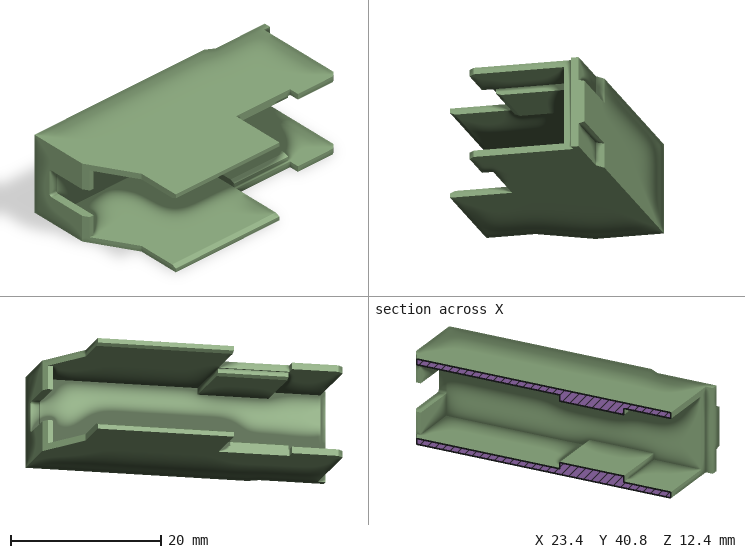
import cadquery as cq

width, length, height = 23.38, 40.8, 12.45
half_height = height / 2

tab_width = 1.85
rear_y = 39.75
hook_x = 16.35
hook_front_y = 32.6
hook_chamfer = 0.78
neck_x = 14.8
shoulder_y = 22.9
nose_x = 9.45
slant_end_x = 16.6
slant_end_y = 4.2

plate_thickness = 0.9
side_wall = 3.15
front_wall = 1.22
front_wall_end_x = 10.35
slot_height = 4.25
slot_start_x = 2.98
slot_corner_radius = 0.35

bevel_length = 0.75
bevel_depth = 0.3

pad_end_x = 14.45
pad_thickness = 0.9

recess_depth = 0.8
recess_length = 10.3
recess_floor_length = 8.9
recess_floor_height = 3.2
recess_mouth_height = 3.4


def both_halves(upper):
    """Join an upper feature with its mirror image below mid-height."""
    return upper.union(upper.mirror("XY"))


def outline_body():
    """Full-height block with the stepped plan outline."""
    return (
        cq.Workplane("XY")
        .workplane(offset=-half_height)
        .moveTo(0, 0)
        .lineTo(nose_x, 0)
        .lineTo(slant_end_x, slant_end_y)
        .lineTo(width, slant_end_y)
        .lineTo(width, shoulder_y)
        .lineTo(neck_x, shoulder_y)
        .lineTo(neck_x, hook_front_y)
        .lineTo(hook_x, hook_front_y)
        .lineTo(hook_x, rear_y - hook_chamfer)
        .lineTo(hook_x - hook_chamfer, rear_y)
        .lineTo(tab_width, rear_y)
        .lineTo(tab_width, length)
        .lineTo(0, length)
        .close()
        .extrude(height)
    )


def box_between(x_start, x_end, y_start, y_end, box_height):
    """Box centred on mid-height."""
    return (
        cq.Workplane("XY")
        .box(x_end - x_start, y_end - y_start, box_height, centered=(False, False, True))
        .translate((x_start, y_start, 0))
    )


def cavity():
    """Space between the plates, open at the rear and along the +X side."""
    inner_height = height - 2 * plate_thickness
    behind_wall = box_between(side_wall, width, front_wall, length, inner_height)
    beside_wall = box_between(front_wall_end_x, width, 0, front_wall, inner_height)
    return behind_wall.union(beside_wall)


def front_slot():
    """Slot through the front wall, rounded at its closed end."""
    slot = box_between(slot_start_x, width, 0, front_wall, slot_height)
    return slot.edges("|Y and <X").fillet(slot_corner_radius)


def plate_bevels():
    """Bevels on the inner +X edges of both plates."""
    inner_z = half_height - plate_thickness
    upper = (
        cq.Workplane("XZ")
        .polyline([(width - bevel_length, inner_z), (width, inner_z), (width, inner_z + bevel_depth)])
        .close()
        .extrude(-length)
    )
    return both_halves(upper)


def pads():
    """Bevelled pads on the inner faces of both plates."""
    outer_z = half_height - plate_thickness
    inner_z = outer_z - pad_thickness
    upper = (
        cq.Workplane("XZ", origin=(0, shoulder_y, 0))
        .moveTo(side_wall, outer_z)
        .lineTo(pad_end_x, outer_z)
        .lineTo(pad_end_x, inner_z + bevel_depth)
        .lineTo(pad_end_x - bevel_length, inner_z)
        .lineTo(side_wall, inner_z)
        .close()
        .extrude(-(hook_front_y - shoulder_y))
    )
    return both_halves(upper)


def side_recesses():
    """Recesses with a ramped front end and a slightly sloped ledge."""
    plan = (
        cq.Workplane("XY")
        .moveTo(0, length)
        .lineTo(recess_depth, length)
        .lineTo(recess_depth, length - recess_floor_length)
        .lineTo(0, length - recess_length)
        .close()
        .extrude(half_height)
    )
    section = (
        cq.Workplane("XZ")
        .moveTo(0, half_height)
        .lineTo(recess_depth, half_height)
        .lineTo(recess_depth, half_height - recess_floor_height)
        .lineTo(0, half_height - recess_mouth_height)
        .close()
        .extrude(-length)
    )
    return both_halves(plan.intersect(section))


shell = outline_body().cut(cavity()).cut(front_slot())
result = shell.cut(plate_bevels()).union(pads()).cut(side_recesses())
result = result.translate((0, 0, half_height))